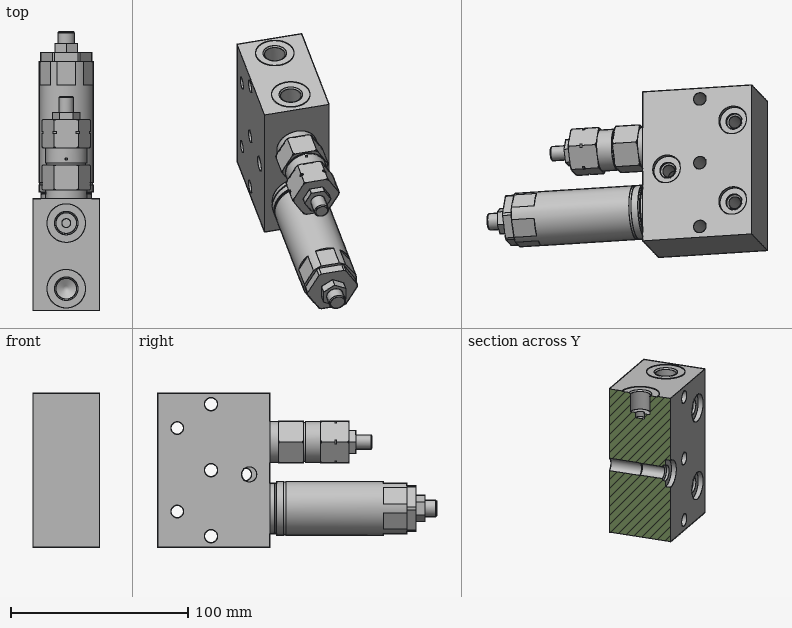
import cadquery as cq
import math


OVERALL_LENGTH = 157.5
BLOCK_WIDTH = 37.7
BLOCK_DEPTH = 63.3
BLOCK_HEIGHT = 87.1
LEFT_FACE = -BLOCK_WIDTH / 2
TOP_FACE = BLOCK_HEIGHT / 2

MOUNT_HOLE_RADIUS = 3.6
MOUNT_HOLE_Y = 30.1
MOUNT_HOLE_EDGE = 6.3

SIDE_RECESS_RADIUS = 8.0
SIDE_RECESS_DEPTH = 3.0
SIDE_BORE_RADIUS = 4.5
SIDE_BORE_DEPTH = 1.5
SIDE_CONE_DEPTH = 0.6
PASSAGE_RADIUS = 3.5
FRONT_SIDE_PORT_Y = 11.0
UPPER_SIDE_PORT_Z = 23.8
LOWER_SIDE_PORT_Z = -23.3
REAR_PORT_Y = 49.5
REAR_SIDE_PORT_Z = -2.4
FAR_PASSAGE_RADIUS = 4.3
FAR_PASSAGE_SHIFT = 2.2

FRONT_TOP_PORT_Y = 12.5
SPOT_FACE_RADIUS = 10.9
SPOT_FACE_DEPTH = 0.3
TOP_BORE_RADIUS = 5.8
TOP_BORE_DEPTH = 11.8
TOP_BORE_CHAMFER = 0.8
DRILL_CONE_DEPTH = 3.2
PILOT_RADIUS = 2.5
PILOT_DEPTH = 3.2

SMALL_VALVE_Z = 15.9
SMALL_NECK_RADIUS = 11.7
SMALL_NECK_END = 4.7
SMALL_HEX_APOTHEM = 11.8
SMALL_HEX_END = 19.0
HEX_CORNER_CHAMFER = 0.6
SMALL_GROOVE_RADIUS = 11.0
SMALL_GROOVE_END = 20.0
COLLAR_RADIUS = 11.7
COLLAR_END = 28.5
VENT_RADIUS = 0.6
VENT_DEPTH = 1.3
VENT_FROM_BLOCK = 22.4
CAP_HEX_END = 44.7
CAP_GROOVE_RADIUS = 13.0
CAP_GROOVE_WIDTH = 1.1
CAP_GROOVE_FROM_BLOCK = 37.2
SMALL_NUT_APOTHEM = 6.6
SMALL_NUT_END = 48.5
SMALL_SCREW_RADIUS = 4.1
SMALL_SCREW_END = 57.7
SCREW_CHAMFER = 0.6

LARGE_VALVE_Z = -21.6
LARGE_NECK_RADIUS = 14.3
UNDERCUT_RADIUS = 13.9
UNDERCUT_START = 2.5
UNDERCUT_END = 3.0
SLEEVE_START = 3.8
SLEEVE_RADIUS = 15.3
SLEEVE_END = 77.4
RING_GROOVE_START = 7.7
RING_GROOVE_END = 9.0
RING_GROOVE_DEPTH = 0.3
SLEEVE_FLAT_START = 64.1
SLEEVE_FLAT_APOTHEM = 14.3
SLEEVE_FLAT_ANGLES = (34, 90, 150, 210, 270, 326)
END_HEX_APOTHEM = 12.9
END_HEX_CORNER_RADIUS = 14.5
END_HEX_END = 82.5
LARGE_NUT_APOTHEM = 6.5
LARGE_NUT_END = 87.6
LARGE_SCREW_RADIUS = 4.7
LARGE_SCREW_END = OVERALL_LENGTH - BLOCK_DEPTH


def valve_plane(z, start):
    """Plane across a valve axis at height z, at a distance from the block's rear face, facing +Y."""
    return cq.Plane((0, BLOCK_DEPTH + start, z), xDir=(-1, 0, 0), normal=(0, 1, 0))


def rod(z, start, end, radius):
    """Cylinder along +Y at height z, between two distances from the block's rear face."""
    return cq.Workplane(valve_plane(z, start)).circle(radius).extrude(end - start)


def hex_rod(z, start, end, apothem, corner_on_x):
    """Hexagonal prism along +Y with a corner on the X axis or, if not, on the Z axis."""
    corner_radius = apothem / math.cos(math.pi / 6)
    first_corner = 0 if corner_on_x else math.pi / 6
    angles = [first_corner + i * math.pi / 3 for i in range(6)]
    corners = [(corner_radius * math.cos(a), corner_radius * math.sin(a)) for a in angles]
    return cq.Workplane(valve_plane(z, start)).polyline(corners).close().extrude(end - start)


def rounded_hex(z, start, end, apothem):
    """Hexagonal prism whose corners are turned down by a chamfer at both ends."""
    corner_radius = apothem / math.cos(math.pi / 6)
    turned = rod(z, start, end, corner_radius).edges().chamfer(HEX_CORNER_CHAMFER)
    return hex_rod(z, start, end, apothem, True).intersect(turned)


def screw(z, start, end, radius):
    """Adjusting screw with a chamfered free end."""
    return rod(z, start, end, radius).faces(">Y").chamfer(SCREW_CHAMFER)


def side_bore(y, z, depth_from, depth_to, radius):
    """Cylinder along +X between two depths below the left face."""
    plane = cq.Plane((LEFT_FACE + depth_from, y, z), xDir=(0, 1, 0), normal=(1, 0, 0))
    return cq.Workplane(plane).circle(radius).extrude(depth_to - depth_from)


def side_port(y, z, passage_end):
    """Seal recess, bore and conical floor, then a passage down to the given depth."""
    bore_end = SIDE_RECESS_DEPTH + SIDE_BORE_DEPTH
    cone_start = cq.Vector(LEFT_FACE + bore_end, y, z)
    inward = cq.Vector(1, 0, 0)
    cone = cq.Solid.makeCone(SIDE_BORE_RADIUS, PASSAGE_RADIUS, SIDE_CONE_DEPTH, cone_start, inward)
    port = side_bore(y, z, 0, SIDE_RECESS_DEPTH, SIDE_RECESS_RADIUS)
    port = port.union(side_bore(y, z, 0, bore_end, SIDE_BORE_RADIUS))
    port = port.union(cq.Workplane(cone))
    return port.union(side_bore(y, z, 0, passage_end, PASSAGE_RADIUS))


def top_port(y, floor_profile):
    """Turned port below the top face; the profile lists (radius, depth) from bore wall to axis."""
    mouth_radius = TOP_BORE_RADIUS + TOP_BORE_CHAMFER
    outline = [
        (0, 0),
        (SPOT_FACE_RADIUS, 0),
        (SPOT_FACE_RADIUS, -SPOT_FACE_DEPTH),
        (mouth_radius, -SPOT_FACE_DEPTH),
        (TOP_BORE_RADIUS, -SPOT_FACE_DEPTH - TOP_BORE_CHAMFER),
        (TOP_BORE_RADIUS, -TOP_BORE_DEPTH),
    ]
    outline += [(radius, -depth) for radius, depth in floor_profile]
    plane = cq.Plane((0, y, TOP_FACE), xDir=(1, 0, 0), normal=(0, -1, 0))
    return cq.Workplane(plane).polyline(outline).close().revolve(360, (0, 0, 0), (0, 1, 0))


def make_block():
    block = cq.Workplane().box(BLOCK_WIDTH, BLOCK_DEPTH, BLOCK_HEIGHT).translate((0, BLOCK_DEPTH / 2, 0))

    mount_offset = TOP_FACE - MOUNT_HOLE_EDGE
    for z in (-mount_offset, 0, mount_offset):
        block = block.cut(side_bore(MOUNT_HOLE_Y, z, 0, BLOCK_WIDTH, MOUNT_HOLE_RADIUS))

    for z in (LOWER_SIDE_PORT_Z, UPPER_SIDE_PORT_Z):
        block = block.cut(side_port(FRONT_SIDE_PORT_Y, z, BLOCK_WIDTH))

    middle = BLOCK_WIDTH / 2
    far_y = REAR_PORT_Y + FAR_PASSAGE_SHIFT
    block = block.cut(side_port(REAR_PORT_Y, REAR_SIDE_PORT_Z, middle))
    block = block.cut(side_bore(far_y, REAR_SIDE_PORT_Z, middle, BLOCK_WIDTH, FAR_PASSAGE_RADIUS))

    drill_point = [(0, TOP_BORE_DEPTH + DRILL_CONE_DEPTH)]
    pilot_end = TOP_BORE_DEPTH + PILOT_DEPTH
    flat_with_pilot = [(PILOT_RADIUS, TOP_BORE_DEPTH), (PILOT_RADIUS, pilot_end), (0, pilot_end)]
    block = block.cut(top_port(FRONT_TOP_PORT_Y, drill_point))
    return block.cut(top_port(REAR_PORT_Y, flat_with_pilot))


def make_small_valve():
    z = SMALL_VALVE_Z
    valve = rod(z, 0, SMALL_NECK_END, SMALL_NECK_RADIUS)
    valve = valve.union(rounded_hex(z, SMALL_NECK_END, SMALL_HEX_END, SMALL_HEX_APOTHEM))
    valve = valve.union(rod(z, SMALL_HEX_END, SMALL_GROOVE_END, SMALL_GROOVE_RADIUS))
    valve = valve.union(rod(z, SMALL_GROOVE_END, COLLAR_END, COLLAR_RADIUS))

    cap = rounded_hex(z, COLLAR_END, CAP_HEX_END, SMALL_HEX_APOTHEM)
    groove_start = CAP_GROOVE_FROM_BLOCK - CAP_GROOVE_WIDTH / 2
    groove_end = groove_start + CAP_GROOVE_WIDTH
    ring = rod(z, groove_start, groove_end, 2 * CAP_GROOVE_RADIUS)
    ring = ring.cut(rod(z, groove_start, groove_end, CAP_GROOVE_RADIUS))
    valve = valve.union(cap.cut(ring))

    valve = valve.union(hex_rod(z, CAP_HEX_END, SMALL_NUT_END, SMALL_NUT_APOTHEM, True))
    valve = valve.union(screw(z, SMALL_NUT_END, SMALL_SCREW_END, SMALL_SCREW_RADIUS))

    vent_floor = cq.Vector(0, BLOCK_DEPTH + VENT_FROM_BLOCK, z + COLLAR_RADIUS - VENT_DEPTH)
    return valve.cut(cq.Workplane(cq.Solid.makeCylinder(VENT_RADIUS, 2 * VENT_DEPTH, vent_floor)))


def make_large_valve():
    z = LARGE_VALVE_Z

    valve = rod(z, 0, UNDERCUT_START, LARGE_NECK_RADIUS)
    valve = valve.union(rod(z, UNDERCUT_START, UNDERCUT_END, UNDERCUT_RADIUS))
    valve = valve.union(rod(z, UNDERCUT_END, SLEEVE_START, LARGE_NECK_RADIUS))

    sleeve = rod(z, SLEEVE_START, SLEEVE_FLAT_START, SLEEVE_RADIUS)
    ring = rod(z, RING_GROOVE_START, RING_GROOVE_END, SLEEVE_RADIUS)
    core = rod(z, RING_GROOVE_START, RING_GROOVE_END, SLEEVE_RADIUS - RING_GROOVE_DEPTH)
    flats = rod(z, SLEEVE_FLAT_START, SLEEVE_END, SLEEVE_RADIUS)
    for angle in SLEEVE_FLAT_ANGLES:
        waste = cq.Workplane(valve_plane(z, SLEEVE_FLAT_START)).transformed((0, 0, angle))
        waste = waste.center(SLEEVE_FLAT_APOTHEM + SLEEVE_RADIUS, 0)
        waste = waste.rect(2 * SLEEVE_RADIUS, 2 * SLEEVE_RADIUS)
        flats = flats.cut(waste.extrude(SLEEVE_END - SLEEVE_FLAT_START))
    valve = valve.union(sleeve.cut(ring.cut(core))).union(flats)

    end_hex = hex_rod(z, SLEEVE_END, END_HEX_END, END_HEX_APOTHEM, True)
    end_hex = end_hex.intersect(rod(z, SLEEVE_END, END_HEX_END, END_HEX_CORNER_RADIUS))
    valve = valve.union(end_hex)

    valve = valve.union(hex_rod(z, END_HEX_END, LARGE_NUT_END, LARGE_NUT_APOTHEM, False))
    return valve.union(screw(z, LARGE_NUT_END, LARGE_SCREW_END, LARGE_SCREW_RADIUS))


manifold = make_block().union(make_small_valve())
large_valve = make_large_valve()

result = cq.Compound.makeCompound([manifold.val(), large_valve.val()])